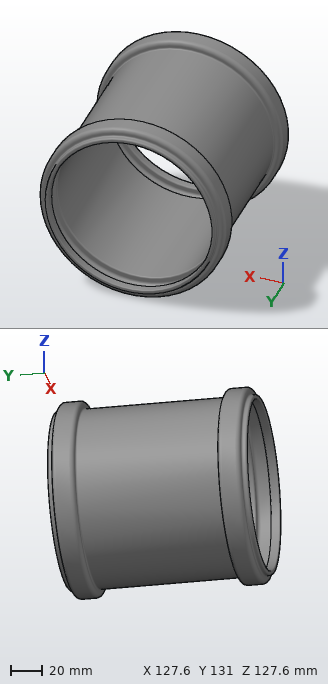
import cadquery as cq
import math

length = 131.0
tube_outer_radius = 116.9 / 2
bore_radius = 111.0 / 2
lip_outer_radius = 117.1 / 2
lip_inner_radius = 111.4 / 2
bead_outer_radius = 127.6 / 2
groove_radius = 121.8 / 2

wall = bead_outer_radius - groove_radius
bead_start = 3.4
bead_width = 15.2
crest_fillet = 3.0
root_fillet = 1.0
groove_fillet = 2.0
groove_mouth_fillet = 1.0

rim_outer_fillet = 1.2
rim_inner_fillet = 0.8

half_length = length / 2
bead_far = half_length - bead_start
bead_near = bead_far - bead_width
groove_far = bead_far - wall
groove_near = bead_near + wall


def mirrored(corners):
    """Return the corners of the opposite end, in reverse order of travel."""
    return [(radius, -axial, fillet) for radius, axial, fillet in reversed(corners)]


def unit_step(start, end):
    """Return the unit direction from one corner to another."""
    distance = math.dist(start[:2], end[:2])
    return cq.Vector((end[0] - start[0]) / distance, (end[1] - start[1]) / distance)


def rounded_outline(corners):
    """Draw a closed outline whose square corners are rounded by tangent arcs."""
    profile = None
    for index, corner in enumerate(corners):
        radius, axial, fillet = corner
        following = corners[(index + 1) % len(corners)]
        to_previous = unit_step(corner, corners[index - 1]) * fillet
        to_following = unit_step(corner, following) * fillet
        point = cq.Vector(radius, axial)
        start = point + to_previous
        end = point + to_following
        arc_middle = point + (to_previous + to_following) * (1 - math.sqrt(0.5))
        if profile is None:
            profile = cq.Workplane("XY").moveTo(start.x, start.y)
        else:
            profile = profile.lineTo(start.x, start.y)
        profile = profile.threePointArc(arc_middle.toTuple()[:2], end.toTuple()[:2])
    return profile.close()


outer_corners = [
    (tube_outer_radius, bead_near, root_fillet),
    (bead_outer_radius, bead_near, crest_fillet),
    (bead_outer_radius, bead_far, crest_fillet),
    (lip_outer_radius, bead_far, root_fillet),
    (lip_outer_radius, half_length, rim_outer_fillet),
]
inner_corners = [
    (lip_inner_radius, half_length, rim_inner_fillet),
    (lip_inner_radius, groove_far, groove_mouth_fillet),
    (groove_radius, groove_far, groove_fillet),
    (groove_radius, groove_near, groove_fillet),
    (bore_radius, groove_near, groove_mouth_fillet),
]
end_corners = outer_corners + inner_corners

wall_section = rounded_outline(end_corners + mirrored(end_corners))
result = wall_section.revolve(360, (0, 0, 0), (0, 1, 0))